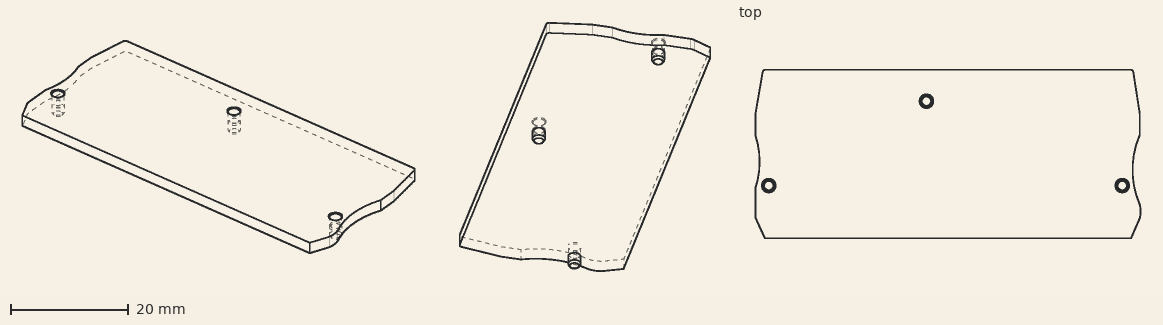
import cadquery as cq

length = 65.5
width = 28.7
height = 4.1
half_length = length / 2
half_width = width / 2

plate_thickness = 2.15
pin_length = height - plate_thickness
back_corner_x = 31.45
front_corner_x = 31.1
back_corner_radius = 0.5
shoulder_y = 6.75
left_side_x = -half_length
right_side_x = 32.6
left_wave_back_y = 3.2
left_wave_front_y = -5.8
left_wave_depth = 0.7
left_front_bend_y = -10.8
left_front_bend_radius = 1.65
right_wave_back_y = 3.3
right_wave_front_y = -8.65
right_wave_depth = 1.25
bump_y = -9.75
bump_front_y = -10.9

pin_diameter = 2.15
pin_tip_diameter = 1.65
pin_tip_height = 0.45
socket_diameter = 2.0
socket_mouth_diameter = 2.35
socket_depth = 1.95
socket_floor_diameter = 1.6
front_pins_y = -5.4
pin_positions = [(-30.45, front_pins_y), (29.6, front_pins_y), (-3.7, 9.0)]


def make_plate():
    left_wave_middle = (left_side_x + left_wave_depth, (left_wave_back_y + left_wave_front_y) / 2)
    right_wave_middle = (right_side_x - right_wave_depth, (right_wave_back_y + right_wave_front_y) / 2)
    plate = (
        cq.Workplane("XY")
        .moveTo(-back_corner_x, half_width)
        .lineTo(left_side_x, shoulder_y)
        .lineTo(left_side_x, left_wave_back_y)
        .threePointArc(left_wave_middle, (left_side_x, left_wave_front_y))
        .lineTo(left_side_x, left_front_bend_y)
        .lineTo(-front_corner_x, -half_width)
        .lineTo(front_corner_x, -half_width)
        .lineTo(right_side_x, bump_front_y)
        .threePointArc((half_length, bump_y), (right_side_x, right_wave_front_y))
        .threePointArc(right_wave_middle, (right_side_x, right_wave_back_y))
        .lineTo(right_side_x, shoulder_y)
        .lineTo(back_corner_x, half_width)
        .close()
        .extrude(plate_thickness)
    )
    plate = plate.edges("|Z and >Y").fillet(back_corner_radius)
    bend = cq.selectors.NearestToPointSelector((left_side_x, left_front_bend_y, plate_thickness / 2))
    return plate.edges(bend).fillet(left_front_bend_radius)


def make_pin():
    return (
        cq.Workplane("XZ")
        .lineTo(pin_diameter / 2, 0)
        .lineTo(pin_diameter / 2, pin_tip_height - pin_length)
        .lineTo(pin_tip_diameter / 2, -pin_length)
        .lineTo(0, -pin_length)
        .close()
        .revolve(360, (0, 0, 0), (0, 1, 0))
    )


def make_socket():
    mouth_chamfer = (socket_mouth_diameter - socket_diameter) / 2
    floor_chamfer = (socket_diameter - socket_floor_diameter) / 2
    floor_z = plate_thickness - socket_depth
    return (
        cq.Workplane("XZ")
        .moveTo(0, plate_thickness)
        .lineTo(socket_mouth_diameter / 2, plate_thickness)
        .lineTo(socket_diameter / 2, plate_thickness - mouth_chamfer)
        .lineTo(socket_diameter / 2, floor_z + floor_chamfer)
        .lineTo(socket_floor_diameter / 2, floor_z)
        .lineTo(0, floor_z)
        .close()
        .revolve(360, (0, 0, 0), (0, 1, 0))
    )


result = make_plate()
for pin_x, pin_y in pin_positions:
    pin_place = cq.Vector(pin_x, pin_y, 0)
    result = result.union(make_pin().translate(pin_place))
    result = result.cut(make_socket().translate(pin_place))